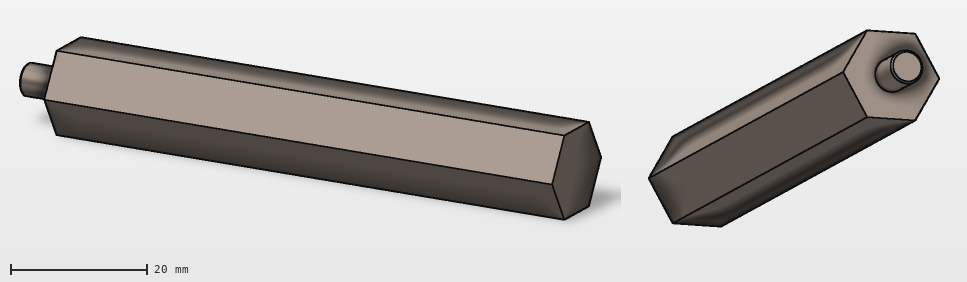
import cadquery as cq
import math

side_count = 6
across_flats = 13.0
across_corners = across_flats / math.cos(math.pi / side_count)
body_length = 85.0
stud_length = 7.0
stud_diameter = 5.0
stud_chamfer = 0.3


def hex_body():
    """Hexagonal bar from X = 0, with corners on +/-Y and flats on +/-Z."""
    return cq.Workplane("YZ").polygon(side_count, across_corners).extrude(body_length)


def stud():
    """Round stud reaching toward -X, chamfered at its free end."""
    rod = cq.Workplane("YZ").circle(stud_diameter / 2).extrude(-stud_length)
    return rod.faces("<X").chamfer(stud_chamfer)


result = hex_body().union(stud())